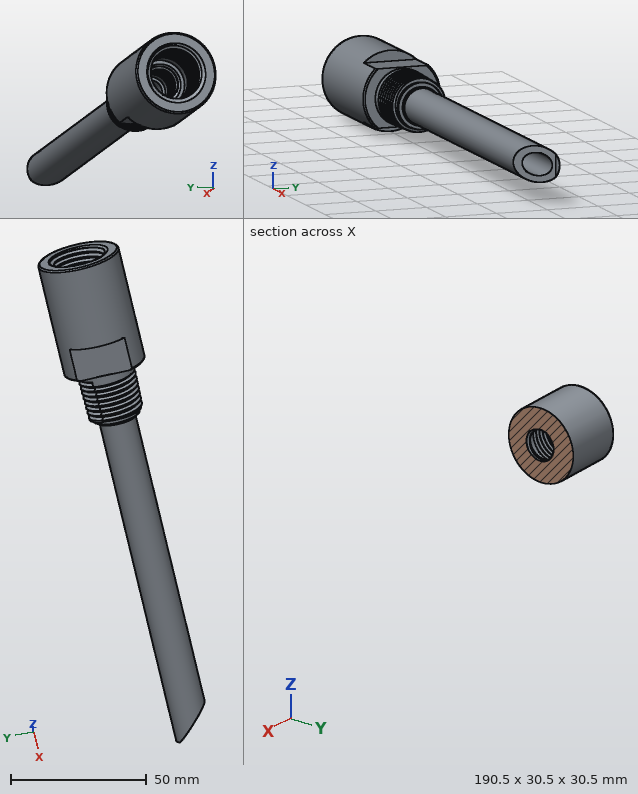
import cadquery as cq
import math


total_length = 190.5
body_diameter = 30.48
body_length = 43.9
body_edge_chamfer = 0.6
flat_length = 12.7
width_across_flats = 22.3

pipe_taper = 1 / 16
half_inch_pitch = 1.95
thread_flank_angle = 60
root_width = 0.1
thread_start_turn = 30
thread_neck_diameter = 21.3
thread_taper_start = 47.0
thread_groove_start = 46.75
external_turns = 8
thread_end = 62.2
thread_core_diameter = 17.58
core_end = 63.4
collar_diameter = 14.6
collar_end = 64.5

tube_diameter = 13.72
tube_bore = 8.64
tip_flat_width = 1.5
tip_angle = 45

half_inch_drill = 17.86
half_inch_thread_length = 16.0
half_inch_depth = 22.0
countersink_depth = 1.0
half_inch_countersink = 22.4
half_inch_thread_depth = 1.4
quarter_inch_drill = 11.12
quarter_inch_pitch = 1.41
quarter_inch_thread_length = 11.0
quarter_inch_depth = 15.0
quarter_inch_countersink = 15.0
quarter_inch_thread_depth = 0.95
blind_bore_depth = 6.0
web_thickness = 2.0

overlap = 0.15


def cylinder(diameter, start, end):
    return cq.Workplane("XY").workplane(offset=start).circle(diameter / 2).extrude(end - start)


def cone(start_diameter, end_diameter, start, end):
    """Solid of revolution about Z whose diameter changes evenly from start to end."""
    profile = [(0, start), (start_diameter / 2, start), (end_diameter / 2, end), (0, end)]
    return cq.Workplane("XZ").polyline(profile).close().revolve(360, (0, 0), (0, 1))


def helical_groove(corners, pitch):
    """Solid for one turn of groove, its section given as (radius, height) corners in order."""
    taper_angle = math.degrees(math.atan(pipe_taper / 2))
    helices = [
        cq.Wire.makeHelix(pitch, pitch, radius, cq.Vector(0, 0, height), angle=-taper_angle)
        for radius, height in corners
    ]
    next_helices = helices[1:] + helices[:1]
    faces = []
    for helix, next_helix in zip(helices, next_helices):
        faces += cq.Face.makeRuledSurface(helix, next_helix).Faces()
    for ends in ([h.startPoint() for h in helices], [h.endPoint() for h in helices]):
        faces.append(cq.Face.makeFromWires(cq.Wire.makePolygon(ends, close=True)))
    return cq.Solid.makeSolid(cq.Shell.makeShell(faces)).fix()


def cut_thread(part, surface_diameter, depth, pitch, start, turns, outward):
    """Cut a V-shaped right-hand helical groove into a surface that narrows with the pipe taper.

    surface_diameter is the diameter at start. With outward set the groove goes away from the
    axis (internal thread), else towards it. Each turn is cut by itself, which keeps the cuts simple.
    """
    direction = 1 if outward else -1
    half_root = root_width / 2
    half_mouth = half_root + (depth + overlap) * math.tan(math.radians(thread_flank_angle / 2))
    for turn in range(turns):
        height = start + turn * pitch
        radius = (surface_diameter - turn * pitch * pipe_taper) / 2
        mouth_radius = radius - direction * overlap
        root_radius = radius + direction * depth
        groove = helical_groove([
            (mouth_radius, height - half_mouth),
            (root_radius, height - half_root),
            (root_radius, height + half_root),
            (mouth_radius, height + half_mouth),
        ], pitch)
        groove = groove.rotate(cq.Vector(), cq.Vector(0, 0, 1), thread_start_turn)
        part = part.cut(cq.Workplane(groove), clean=False)
    return part


def make_body():
    """Cylinder with chamfered ends and two flats, facing up and down, next to the pipe thread."""
    body = cylinder(body_diameter, 0, body_length).edges("%CIRCLE").chamfer(body_edge_chamfer)
    flat_start = body_length - flat_length
    kept = (
        cq.Workplane("XY")
        .workplane(offset=flat_start)
        .rect(width_across_flats, body_diameter)
        .extrude(flat_length)
    )
    return body.intersect(cylinder(body_diameter, 0, flat_start).union(kept))


def make_external_thread():
    """Neck, tapered thread, plain core behind its last turn, and the collar around the tube."""
    end_diameter = thread_neck_diameter - pipe_taper * (thread_end - thread_taper_start)
    blank = cylinder(thread_neck_diameter, body_length, thread_taper_start)
    blank = blank.union(cone(thread_neck_diameter, end_diameter, thread_taper_start, thread_end))
    depth = (end_diameter - thread_core_diameter) / 2
    start_diameter = end_diameter + pipe_taper * (thread_end - thread_groove_start)
    thread = cut_thread(
        blank, start_diameter, depth, half_inch_pitch, thread_groove_start, external_turns, False
    )
    thread = thread.union(cylinder(thread_core_diameter, thread_end, core_end))
    return thread.union(cylinder(collar_diameter, core_end, collar_end))


def cut_socket(part, start, drill, pitch, thread_length, depth, countersink, thread_depth):
    """Cut a tapered threaded hole with a countersunk mouth at start and a plain drilled bottom."""
    mouth = drill + pipe_taper * thread_length
    part = part.cut(cylinder(drill, start, start + depth))
    part = part.cut(cone(mouth, drill, start, start + thread_length))
    groove_diameter = mouth + pipe_taper * pitch
    turns = math.ceil(thread_length / pitch) + 1
    part = cut_thread(part, groove_diameter, thread_depth, pitch, start - pitch, turns, True)
    return part.cut(cone(countersink, mouth, start, start + countersink_depth))


def make_tip_cutter():
    """Prism that slants the tip, leaving a narrow flat on the +Y side."""
    top = tube_diameter / 2 - tip_flat_width
    run = tube_diameter / math.tan(math.radians(tip_angle))
    bottom = top - tube_diameter
    profile = [(top, total_length), (bottom, total_length - run), (bottom, total_length)]
    return cq.Workplane("YZ").polyline(profile).close().extrude(tube_diameter / 2, both=True)


quarter_inch_start = half_inch_depth
blind_bore_start = quarter_inch_start + quarter_inch_depth
blind_bore_end = blind_bore_start + blind_bore_depth

part = make_body()
part = cut_socket(
    part, 0, half_inch_drill, half_inch_pitch, half_inch_thread_length,
    half_inch_depth, half_inch_countersink, half_inch_thread_depth,
)
part = cut_socket(
    part, quarter_inch_start, quarter_inch_drill, quarter_inch_pitch, quarter_inch_thread_length,
    quarter_inch_depth, quarter_inch_countersink, quarter_inch_thread_depth,
)
part = part.union(make_external_thread()).union(cylinder(tube_diameter, core_end, total_length))
part = part.cut(make_tip_cutter())
part = part.cut(cylinder(tube_bore, blind_bore_start, blind_bore_end))
part = part.cut(cylinder(tube_bore, blind_bore_end + web_thickness, total_length))

result = part.rotate((0, 0, 0), (0, 1, 0), 90)